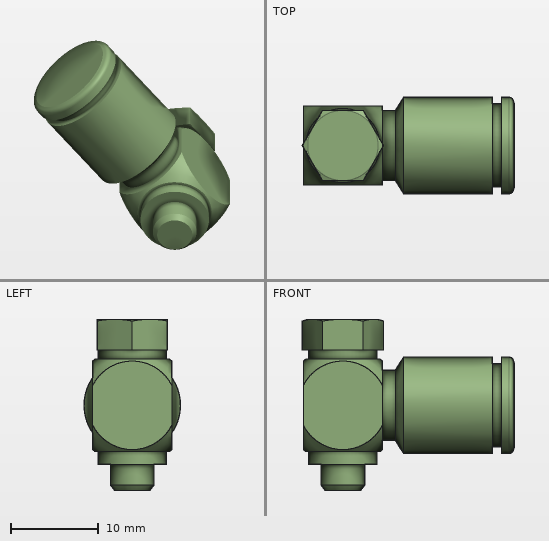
import cadquery as cq
import math


block_width = 9.0
block_height = 10.55
block_sphere_radius = 6.75
neck_diameter = 8.0
neck_end_x = 5.98
sleeve_diameter = 11.0
sleeve_cone_end_x = 6.9
sleeve_end_x = 17.0

ring_spigot_diameter = 9.5
ring_gap = 1.01
ring_rim_width = 0.87
ring_round_radius = 0.53
ring_round_angle = 75.0
ring_face_diameter = 9.6

hex_flats = 8.0
hex_height = 3.5
hex_chamfer_height = 0.2
shank_diameter = 5.0
shank_tip_diameter = 4.0
shank_tip_height = 0.63
shank_projection = 3.0

washer_diameter = 7.8
upper_washer_height = 1.01
lower_washer_height = 1.45

block_top_z = block_height / 2
block_bottom_z = -block_top_z
head_bottom_z = block_top_z + upper_washer_height
head_top_z = head_bottom_z + hex_height
lower_washer_bottom_z = block_bottom_z - lower_washer_height
shank_bottom_z = lower_washer_bottom_z - shank_projection

overall_length = 24.12
hex_corner_diameter = hex_flats / math.cos(math.radians(30))
ring_end_x = overall_length - hex_corner_diameter / 2


def cylinder_z(diameter, bottom_z, top_z):
    """Cylinder on the bolt axis between two levels."""
    return cq.Workplane("XY", origin=(0, 0, bottom_z)).circle(diameter / 2).extrude(top_z - bottom_z)


def make_elbow():
    """Spherically trimmed block with a neck and sleeve, bored for the bolt."""
    block = cq.Workplane("XY").box(block_width, block_width, block_height)
    block = block.intersect(cq.Workplane("XY").sphere(block_sphere_radius))
    sleeve = (
        cq.Workplane("XZ")
        .lineTo(0, neck_diameter / 2)
        .lineTo(neck_end_x, neck_diameter / 2)
        .lineTo(sleeve_cone_end_x, sleeve_diameter / 2)
        .lineTo(sleeve_end_x, sleeve_diameter / 2)
        .lineTo(sleeve_end_x, 0)
        .close()
        .revolve(360, (0, 0), (1, 0))
    )
    outside = cq.Workplane("XY", origin=(block_width / 2, 0, 0)).box(
        sleeve_end_x, 2 * sleeve_diameter, 2 * sleeve_diameter, centered=(False, True, True)
    )
    bolt_hole = cylinder_z(shank_diameter, block_bottom_z, block_top_z)
    return block.union(sleeve.intersect(outside)).cut(bolt_hole)


def make_release_ring():
    """Flanged ring on a smaller spigot, with a rounded rim and a slightly conical face."""
    rim_radius = sleeve_diameter / 2
    spigot_radius = ring_spigot_diameter / 2
    rim_start_x = sleeve_end_x + ring_gap
    round_start_x = rim_start_x + ring_rim_width

    def round_point(angle):
        """Point on the rim rounding, at an angle in degrees from its start."""
        turn = math.radians(angle)
        x = round_start_x + ring_round_radius * math.sin(turn)
        return (x, rim_radius - ring_round_radius * (1 - math.cos(turn)))

    return (
        cq.Workplane("XZ")
        .moveTo(sleeve_end_x, 0)
        .lineTo(sleeve_end_x, spigot_radius)
        .lineTo(rim_start_x, spigot_radius)
        .lineTo(rim_start_x, rim_radius)
        .lineTo(round_start_x, rim_radius)
        .threePointArc(round_point(ring_round_angle / 2), round_point(ring_round_angle))
        .lineTo(ring_end_x, ring_face_diameter / 2)
        .lineTo(ring_end_x, 0)
        .close()
        .revolve(360, (0, 0), (1, 0))
    )


def make_bolt():
    """Hexagon head with chamfered corners on a plain shank with a tapered tip."""
    head = cq.Workplane("XY", origin=(0, 0, head_bottom_z)).polygon(6, hex_corner_diameter).extrude(hex_height)
    corner_radius = hex_corner_diameter / 2
    corner_trim = (
        cq.Workplane("XZ")
        .moveTo(0, head_bottom_z)
        .lineTo(corner_radius, head_bottom_z)
        .lineTo(corner_radius, head_top_z - hex_chamfer_height)
        .lineTo(hex_flats / 2, head_top_z)
        .lineTo(0, head_top_z)
        .close()
        .revolve(360, (0, 0), (0, 1))
    )
    shank = (
        cq.Workplane("XZ")
        .moveTo(0, shank_bottom_z)
        .lineTo(shank_tip_diameter / 2, shank_bottom_z)
        .lineTo(shank_diameter / 2, shank_bottom_z + shank_tip_height)
        .lineTo(shank_diameter / 2, head_bottom_z)
        .lineTo(0, head_bottom_z)
        .close()
        .revolve(360, (0, 0), (0, 1))
    )
    return head.intersect(corner_trim).union(shank)


def make_washer(bottom_z, top_z):
    """Flat sealing washer around the bolt shank."""
    return cylinder_z(washer_diameter, bottom_z, top_z).cut(cylinder_z(shank_diameter, bottom_z, top_z))


elbow = make_elbow()
release_ring = make_release_ring()
bolt = make_bolt()
washer_levels = [(block_top_z, head_bottom_z), (lower_washer_bottom_z, block_bottom_z)]
washers = [make_washer(bottom_z, top_z) for bottom_z, top_z in washer_levels]

result = cq.Compound.makeCompound(
    [elbow.solids().val(), release_ring.val(), bolt.solids().val(), *[washer.val() for washer in washers]]
)